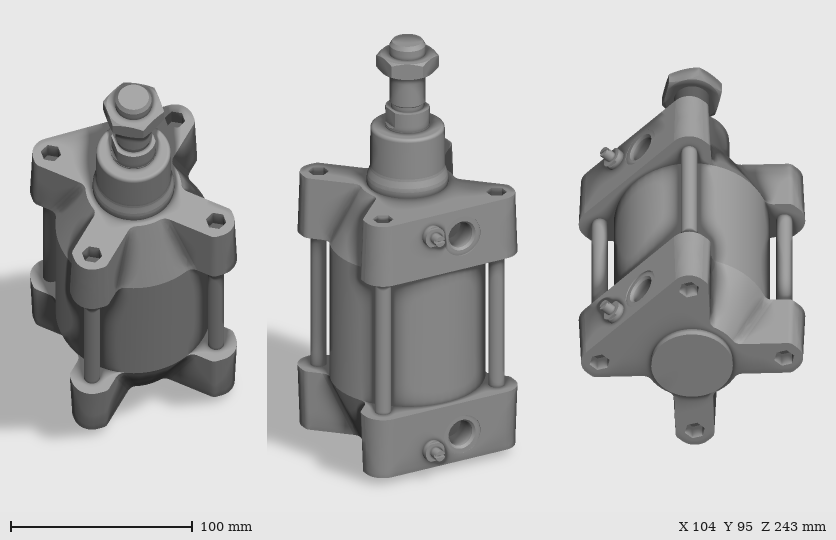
import cadquery as cq
import math

total_height = 243.0
overall_length_x = 104.0
rear_boss_height = 4.5
cap_height = 35.7
barrel_length = 81.2
barrel_bottom = rear_boss_height + cap_height
barrel_top = barrel_bottom + barrel_length
barrel_middle = barrel_bottom + barrel_length / 2
front_face = barrel_top + cap_height
bushing_top = 192.0

barrel_radius = 86.0 / 2
tie_rod_radius = 9.0 / 2
tie_rod_offset = 36.0
socket_flats = 10.0
socket_depth = 9.7

draft_angle = 2.0
cap_width = 95.0
cap_half_width = cap_width / 2
arm_half_width = 12.0
arm_edge_radius = 4.4
hub_small_radius = 26.5
arm_root_fillet = 4.9
notch_angles = (0, 90, -90)
notch_root = arm_half_width * math.sqrt(2)
notch_reach = 73.0

port_y = -8.0
port_height = 19.7
port_ring_radius = 23.0 / 2
port_mouth_radius = 17.3 / 2
port_bore_radius = 14.8 / 2
port_chamfer_depth = 1.5
port_depth = 14.5
port_seat = 46.5
screw_y = 11.2
screw_height = 24.5
screw_collar_radius = 12.0 / 2
screw_collar_end = 50.5
screw_flats_start = 49.0
screw_flats = 10.5
screw_root = 43.7
screw_pin_radius = 6.0 / 2
screw_tip = overall_length_x - cap_half_width
screw_slot_width = 1.5
screw_slot_depth = 2.0

boss_radius = 45.0 / 2
bushing_radius = 41.0 / 2
bushing_edge_fillet = 2.0
shoulder_bottom = 161.8
shoulder_top = 167.2
shoulder_lower_fillet = 6.3
shoulder_upper_fillet = 4.4

rod_radius = 25.0 / 2
rod_end = 192.7
collar_radius = 24.5 / 2
collar_top = 203.5
rod_flats = 22.0
flats_bottom = 194.5
neck_radius = 18.5 / 2
thread_bottom = 206.0
thread_radius = 20.0 / 2
thread_lower_chamfer = 0.7
tip_chamfer_width = 1.5
tip_chamfer_height = 2.5

nut_bottom = 225.7
nut_height = 9.5
nut_flats = 30.0
nut_chamfer_angle = 30.0


def hexagon_diameter(across_flats):
    """Corner-to-corner size of a hexagon."""
    return across_flats / math.cos(math.radians(30))


def cylinder_along_x(radius, from_x, to_x, y, z):
    """Round bar parallel to X between two X positions."""
    return cq.Workplane("YZ", origin=(from_x, y, z)).circle(radius).extrude(to_x - from_x)


def plate():
    """Drafted square plate with round corners concentric with the tie rods."""
    outline = cq.Sketch().rect(cap_width, cap_width).vertices().fillet(cap_half_width - tie_rod_offset)
    return cq.Workplane("XY").placeSketch(outline).extrude(cap_height, taper=draft_angle)


def notch(frame):
    """V-shaped cutter along the frame's x axis that leaves a diagonal arm on each side of it."""
    half_opening = notch_reach - notch_root
    return (
        cq.Workplane(frame)
        .polyline([(notch_root, 0), (notch_reach, half_opening), (notch_reach, -half_opening)])
        .close()
        .extrude(cap_height, taper=-draft_angle)
    )


def round_arm_edge(casting, frame, side):
    """Round the edge where an arm flank meets the flat arm tip, on one side of a notch."""
    corner = cap_half_width - notch_root
    on_edge = frame.toWorldCoords((cap_half_width, side * corner, cap_height / 2))
    nearest = cq.selectors.NearestToPointSelector(on_edge.toTuple())
    return casting.edges("not #Z").edges(nearest).fillet(arm_edge_radius)


def cap_casting():
    """Plate with three notches that open onto a conical hub."""
    casting = plate()
    for angle in notch_angles:
        frame = cq.Plane.XY().rotated((0, 0, angle))
        casting = casting.cut(notch(frame))
        for side in (-1, 1):
            casting = round_arm_edge(casting, frame, side)
    hub = (
        cq.Workplane("XY")
        .circle(barrel_radius)
        .workplane(offset=cap_height)
        .circle(hub_small_radius)
        .loft()
    )
    return casting.union(hub).edges("%HYPERBOLA").fillet(arm_root_fillet)


def port_cutter():
    """Shallow spot face and a chamfered blind bore."""
    profile = [
        (-port_seat - port_ring_radius, 0),
        (-port_seat - port_ring_radius, port_ring_radius),
        (-port_seat, port_ring_radius),
        (-port_seat, port_mouth_radius),
        (-port_seat + port_chamfer_depth, port_bore_radius),
        (-port_seat + port_depth, port_bore_radius),
        (-port_seat + port_depth, 0),
    ]
    cutter = cq.Workplane("XY").polyline(profile).close().revolve(360, (0, 0, 0), (1, 0, 0))
    return cutter.translate((0, port_y, port_height))


def cushion_screw():
    """Slotted pin on a round collar with two flats."""
    collar = cylinder_along_x(screw_collar_radius, -screw_collar_end, -screw_root, screw_y, screw_height)
    collar_width = 2 * screw_collar_radius
    flats_length = screw_collar_end - screw_flats_start
    flats_middle = -(screw_collar_end + screw_flats_start) / 2
    waste = cq.Workplane("XY").box(flats_length, collar_width, collar_width)
    waste = waste.cut(cq.Workplane("XY").box(flats_length, collar_width, screw_flats))
    collar = collar.cut(waste.translate((flats_middle, screw_y, screw_height)))
    pin = cylinder_along_x(screw_pin_radius, -screw_tip, -screw_root, screw_y, screw_height)
    slot = cq.Workplane("XY").box(2 * screw_slot_depth, collar_width, screw_slot_width)
    pin = pin.cut(slot.translate((-screw_tip, screw_y, screw_height)))
    return collar.union(pin)


def end_cap():
    """Cap with its barrel face on Z = 0 and its outer face up."""
    sockets = (
        cq.Workplane("XY", origin=(0, 0, cap_height - socket_depth))
        .rect(2 * tie_rod_offset, 2 * tie_rod_offset, forConstruction=True)
        .vertices()
        .polygon(6, hexagon_diameter(socket_flats))
        .extrude(socket_depth)
    )
    return cap_casting().cut(sockets).cut(port_cutter()).union(cushion_screw())


def rod_bushing():
    """Front boss, conical shoulder and bushing, turned about Z."""
    profile = [
        (0, front_face),
        (boss_radius, front_face),
        (boss_radius, shoulder_bottom),
        (bushing_radius, shoulder_top),
        (bushing_radius, bushing_top),
        (0, bushing_top),
    ]
    bushing = cq.Workplane("XZ").polyline(profile).close().revolve(360, (0, 0, 0), (0, 1, 0))
    bushing = bushing.faces(">Z").edges().fillet(bushing_edge_fillet)
    lower = cq.selectors.NearestToPointSelector((0, 0, shoulder_bottom))
    bushing = bushing.edges("%CIRCLE").edges(lower).fillet(shoulder_lower_fillet)
    upper = cq.selectors.NearestToPointSelector((0, 0, shoulder_top))
    return bushing.edges("%CIRCLE").edges(upper).fillet(shoulder_upper_fillet)


def build_cylinder():
    """Barrel, tie rods, both caps, rear boss and rod bushing, bored for the piston rod."""
    barrel = cq.Workplane("XY", origin=(0, 0, barrel_bottom)).circle(barrel_radius).extrude(barrel_length)
    tie_rods = (
        cq.Workplane("XY", origin=(0, 0, barrel_bottom))
        .rect(2 * tie_rod_offset, 2 * tie_rod_offset, forConstruction=True)
        .vertices()
        .circle(tie_rod_radius)
        .extrude(barrel_length)
    )
    front_cap = end_cap().translate((0, 0, barrel_top))
    rear_cap = front_cap.mirror("XY", (0, 0, barrel_middle))
    rear_boss = cq.Workplane("XY").circle(boss_radius).extrude(rear_boss_height)
    bore = cq.Workplane("XY", origin=(0, 0, barrel_top)).circle(rod_radius).extrude(bushing_top - barrel_top)
    body = barrel.union(tie_rods).union(front_cap).union(rear_cap)
    return body.union(rear_boss).union(rod_bushing()).cut(bore)


def build_piston_rod():
    """Turned rod with wrench flats, thread undercut and chamfered tip."""
    profile = [
        (0, barrel_top),
        (rod_radius, barrel_top),
        (rod_radius, rod_end),
        (collar_radius, rod_end),
        (collar_radius, collar_top),
        (neck_radius, collar_top),
        (neck_radius, thread_bottom),
        (thread_radius, thread_bottom + thread_lower_chamfer),
        (thread_radius, total_height - tip_chamfer_height),
        (thread_radius - tip_chamfer_width, total_height),
        (0, total_height),
    ]
    rod = cq.Workplane("XZ").polyline(profile).close().revolve(360, (0, 0, 0), (0, 1, 0))
    flat_depth = collar_radius - rod_flats / 2
    flat_section = [
        (rod_flats / 2, flats_bottom),
        (collar_radius, flats_bottom - flat_depth),
        (collar_radius, collar_top),
        (rod_flats / 2, collar_top),
    ]
    flat = cq.Workplane("YZ").polyline(flat_section).close().extrude(rod_radius, both=True)
    return rod.cut(flat).cut(flat.mirror("XZ"))


def build_lock_nut():
    """Hexagon nut with its corners chamfered at both ends."""
    corner_radius = hexagon_diameter(nut_flats) / 2
    face_radius = nut_flats / 2
    chamfer_height = (corner_radius - face_radius) * math.tan(math.radians(nut_chamfer_angle))
    blank = cq.Workplane("XY").polygon(6, 2 * corner_radius).circle(thread_radius).extrude(nut_height)
    profile = [
        (0, 0),
        (face_radius, 0),
        (corner_radius, chamfer_height),
        (corner_radius, nut_height - chamfer_height),
        (face_radius, nut_height),
        (0, nut_height),
    ]
    envelope = cq.Workplane("XZ").polyline(profile).close().revolve(360, (0, 0, 0), (0, 1, 0))
    return blank.intersect(envelope).translate((0, 0, nut_bottom))


cylinder = build_cylinder()
piston_rod = build_piston_rod()
lock_nut = build_lock_nut()

result = cq.Compound.makeCompound([cylinder.val(), piston_rod.val(), lock_nut.val()])